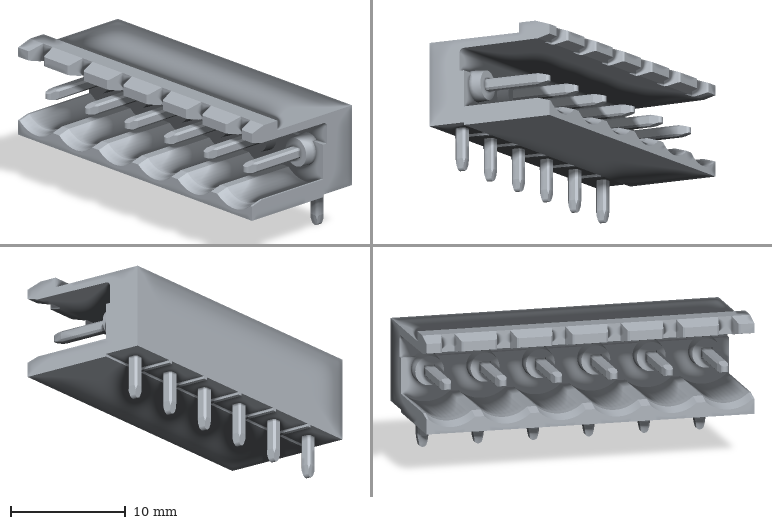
import cadquery as cq


LENGTH = 29.58
DEPTH = 12.0
ROOF_TOP = 7.65
ROOF_UNDERSIDE = 6.95
ROOF_DRAFT_DROP = 0.1
FLOOR_TOP = 1.65
UPPER_WALL_FRONT = 9.0
LOWER_WALL_FRONT = 8.55
WALL_STEP_HEIGHT = 4.88
INNER_CORNER_RADIUS = 0.4

OVERALL_HEIGHT = 12.07

RIB_TOP = 8.55
RIB_BACK = 3.05
RIB_BEVEL_START = 1.42
RIB_NOSE_TOP = 8.1
RIB_NOSE_BOTTOM = 7.25

MOUTH_BEVEL_DEPTH = 1.15
FLOOR_BEVEL_DROP = 0.33

CONTACT_COUNT = 6
PITCH = 5.0
PIN_WIDTH = 0.98
PIN_CHAMFER = 0.18
PIN_HEIGHT = 3.85
PIN_BEND_Y = 10.0
MATING_TIP_Y = 1.25
SOLDER_TIP_Z = RIB_TOP - OVERALL_HEIGHT
PIN_TIP_LENGTH = 1.05
PIN_TIP_WIDTH = 0.65
PIN_TIP_THICKNESS = 0.5
PIN_TIP_BULGE = 0.2

COLLAR_FRONT = 7.45
COLLAR_BASE_RADIUS = 1.42
COLLAR_FRONT_RADIUS = 1.3
SOCKET_WIDTH = 1.0
SOCKET_DEPTH = 0.3

NOTCH_BACK_WIDTH = 1.2
NOTCH_FRONT_WIDTH = 1.77
NOTCH_LEAD_IN_DEPTH = 0.12
NOTCH_LEAD_IN_WIDTH = 2.1

LAND_WIDTH = 0.83
TROUGH_BOTTOM = 0.85

RECESS_HEIGHT = 0.25

contact_positions = [LENGTH / 2 + PITCH * (i - (CONTACT_COUNT - 1) / 2) for i in range(CONTACT_COUNT)]


def make_housing():
    """C-shaped section, open at the front and at both ends."""
    inner_roof = ROOF_UNDERSIDE - ROOF_DRAFT_DROP
    outline = [
        (0, 0),
        (DEPTH, 0),
        (DEPTH, ROOF_TOP),
        (RIB_BACK, ROOF_TOP),
        (RIB_BACK, RIB_TOP),
        (RIB_BEVEL_START, RIB_TOP),
        (0, RIB_NOSE_TOP),
        (0, RIB_NOSE_BOTTOM),
        (MOUTH_BEVEL_DEPTH, ROOF_UNDERSIDE),
        (UPPER_WALL_FRONT, inner_roof),
        (UPPER_WALL_FRONT, WALL_STEP_HEIGHT),
        (LOWER_WALL_FRONT, WALL_STEP_HEIGHT),
        (LOWER_WALL_FRONT, FLOOR_TOP),
        (MOUTH_BEVEL_DEPTH, FLOOR_TOP),
        (0, FLOOR_TOP - FLOOR_BEVEL_DROP),
    ]
    inner_corner = cq.selectors.NearestToPointSelector((LENGTH / 2, UPPER_WALL_FRONT, inner_roof))
    housing = cq.Workplane("YZ").polyline(outline).close().extrude(LENGTH)
    return housing.edges(inner_corner).fillet(INNER_CORNER_RADIUS)


def make_notch(x):
    """Tapered notch through the latch rib, with a short lead-in at the front."""
    half_widths = [
        (NOTCH_LEAD_IN_WIDTH / 2, 0),
        (NOTCH_FRONT_WIDTH / 2, NOTCH_LEAD_IN_DEPTH),
        (NOTCH_BACK_WIDTH / 2, RIB_BEVEL_START),
    ]
    right_side = [(x + half, y) for half, y in half_widths]
    left_side = [(x - half, y) for half, y in reversed(half_widths)]
    notch = cq.Workplane("XY").workplane(offset=WALL_STEP_HEIGHT)
    return notch.polyline(right_side + left_side).close().extrude(RIB_TOP - WALL_STEP_HEIGHT)


def trough_section(x, y, drop):
    """Circular segment below the floor surface, lowered by drop."""
    half_width = (PITCH - LAND_WIDTH) / 2
    section = cq.Workplane("XZ", origin=(x, y, -drop)).moveTo(-half_width, FLOOR_TOP)
    return section.threePointArc((0, TROUGH_BOTTOM), (half_width, FLOOR_TOP)).close()


def make_trough(x):
    """Level trough that dips with the mouth bevel over its front part."""
    level = trough_section(x, LOWER_WALL_FRONT, 0).extrude(LOWER_WALL_FRONT - MOUTH_BEVEL_DEPTH)
    start = trough_section(x, MOUTH_BEVEL_DEPTH, 0).wires().val()
    end = trough_section(x, 0, FLOOR_BEVEL_DROP).wires().val()
    return level.union(cq.Workplane(cq.Solid.makeLoft([start, end], True)))


def make_recess(x):
    """Shallow clearance around one solder pin; the two outermost ones open at the ends of the housing."""
    width = LENGTH - PITCH * (CONTACT_COUNT - 1)
    recess_depth = DEPTH - LOWER_WALL_FRONT
    recess = cq.Workplane("XY").box(width, recess_depth, RECESS_HEIGHT, centered=(True, False, False))
    return recess.translate((x, LOWER_WALL_FRONT, 0))


def make_collar(x):
    """Slightly conical collar standing on the inner wall, with a square socket around the pin."""
    length = UPPER_WALL_FRONT - COLLAR_FRONT
    cone = cq.Workplane(
        cq.Solid.makeCone(
            COLLAR_BASE_RADIUS,
            COLLAR_FRONT_RADIUS,
            length,
            cq.Vector(x, UPPER_WALL_FRONT, PIN_HEIGHT),
            cq.Vector(0, -1, 0),
        )
    )
    socket = cq.Workplane("XZ", origin=(x, COLLAR_FRONT, PIN_HEIGHT)).rect(SOCKET_WIDTH, SOCKET_WIDTH)
    return cone.cut(socket.extrude(-SOCKET_DEPTH))


def make_pin(length):
    """Upright square pin with chamfered edges; its rounded tip is at length above the origin."""
    half = PIN_WIDTH / 2
    tip_half = PIN_TIP_WIDTH / 2
    tip_half_thickness = PIN_TIP_THICKNESS / 2
    shoulder = length - PIN_TIP_LENGTH
    bulge_start = length - PIN_TIP_BULGE
    blank = cq.Workplane("XY").rect(PIN_WIDTH, PIN_WIDTH).extrude(length)
    blank = blank.edges("|Z").chamfer(PIN_CHAMFER)
    rounded = (
        cq.Workplane("XZ")
        .polyline([(-tip_half, bulge_start), (-half, shoulder), (-half, 0), (half, 0), (half, shoulder)])
        .lineTo(tip_half, bulge_start)
        .threePointArc((0, length), (-tip_half, bulge_start))
        .close()
        .extrude(half, both=True)
    )
    tapered = (
        cq.Workplane("YZ")
        .polyline([(-half, shoulder), (-half, 0), (half, 0), (half, shoulder)])
        .lineTo(tip_half_thickness, length)
        .lineTo(-tip_half_thickness, length)
        .close()
        .extrude(half, both=True)
    )
    return blank.intersect(rounded).intersect(tapered)


def make_contact(x):
    """Mating pin pointing forward and solder pin pointing down, meeting inside the rear wall."""
    mating = make_pin(PIN_BEND_Y - MATING_TIP_Y).rotate((0, 0, 0), (1, 0, 0), 90)
    solder = make_pin(PIN_HEIGHT - SOLDER_TIP_Z).rotate((0, 0, 0), (1, 0, 0), 180)
    return mating.union(solder).translate((x, PIN_BEND_Y, PIN_HEIGHT))


result = make_housing()
for contact_x in contact_positions:
    result = result.cut(make_notch(contact_x))
    result = result.cut(make_trough(contact_x))
    result = result.cut(make_recess(contact_x))
for contact_x in contact_positions:
    result = result.union(make_collar(contact_x))
    result = result.union(make_contact(contact_x))